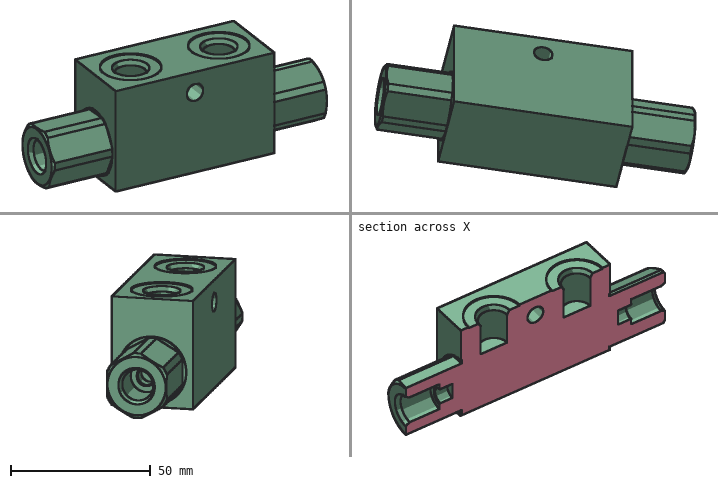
import cadquery as cq
import math

BLOCK_WIDTH = 30.0
BLOCK_HEIGHT = 40.0
OVERALL_LENGTH = 113.0
FITTING_LENGTH = 24.0
BLOCK_LENGTH = OVERALL_LENGTH - 2 * FITTING_LENGTH

FITTING_AXIS_Z = 13.5
ACROSS_FLATS = 22.0
CORNER_DIAMETER = 24.0
END_FACE_DIAMETER = 21.5
END_CHAMFER_ANGLE = 30.0
FRONT_HEX_TURN = 3.0
BACK_HEX_TURN = 30.0

SEAT_DIAMETER = 25.0
SPOTFACE_DIAMETER = 22.0
RECESS_DEPTH = 0.5

PORT_MOUTH_DIAMETER = 13.5
PORT_DIAMETER = 11.4
PORT_DEPTH = 14.7
PORT_MOUTH_HALF_ANGLE = 30.0
PORT_SPACING = 36.2
PASSAGE_DIAMETER = 6.3
PASSAGE_MOUTH_DIAMETER = 7.0
PASSAGE_MOUTH_HALF_ANGLE = 45.0
PASSAGE_DEPTH = 5.6

CROSS_HOLE_DIAMETER = 6.7
CROSS_HOLE_Z = 31.9


def cylinder(diameter, depth):
    """Cylinder running from the origin down to Z = -depth."""
    return cq.Workplane("XY").circle(diameter / 2).extrude(-depth)


def countersink(mouth_diameter, hole_diameter, half_angle):
    """Cone below the origin, narrowing from mouth to hole."""
    depth = (mouth_diameter - hole_diameter) / 2 / math.tan(math.radians(half_angle))
    profile = [(0, 0), (mouth_diameter / 2, 0), (hole_diameter / 2, -depth), (0, -depth)]
    return cq.Workplane("XZ").polyline(profile).close().revolve(360, (0, 0), (0, 1))


def port():
    """Port with a chamfered mouth, opening at the origin."""
    mouth = countersink(PORT_MOUTH_DIAMETER, PORT_DIAMETER, PORT_MOUTH_HALF_ANGLE)
    return cylinder(PORT_DIAMETER, PORT_DEPTH).union(mouth)


def fitting_bore():
    """Port followed by a narrower passage with a chamfered edge."""
    passage = cylinder(PASSAGE_DIAMETER, PASSAGE_DEPTH)
    mouth = countersink(PASSAGE_MOUTH_DIAMETER, PASSAGE_DIAMETER, PASSAGE_MOUTH_HALF_ANGLE)
    passage = passage.union(mouth)
    return port().union(passage.translate((0, 0, -PORT_DEPTH)))


def fitting_body(turn):
    """Hexagon with turned corners and a chamfered outer end at the origin."""
    length = FITTING_LENGTH + RECESS_DEPTH
    hexagon_diameter = ACROSS_FLATS / math.cos(math.pi / 6)
    hexagon = cq.Workplane("XY").polygon(6, hexagon_diameter).extrude(-length)
    hexagon = hexagon.rotate((0, 0, 0), (0, 0, 1), turn)

    corner_radius = CORNER_DIAMETER / 2
    end_radius = END_FACE_DIAMETER / 2
    chamfer_length = (corner_radius - end_radius) * math.tan(math.radians(END_CHAMFER_ANGLE))
    envelope = (
        cq.Workplane("XZ")
        .polyline([
            (0, 0),
            (end_radius, 0),
            (corner_radius, -chamfer_length),
            (corner_radius, -length),
            (0, -length),
        ])
        .close()
        .revolve(360, (0, 0), (0, 1))
    )
    return hexagon.intersect(envelope)


def face_end(shape, side):
    """Turn the +Z end of a shape to face -Y (side = -1) or +Y (side = 1) at the part's end."""
    turned = shape.rotate((0, 0, 0), (1, 0, 0), -90 * side)
    return turned.translate((0, side * OVERALL_LENGTH / 2, FITTING_AXIS_Z))


result = cq.Workplane("XY").box(BLOCK_WIDTH, BLOCK_LENGTH, BLOCK_HEIGHT, centered=(True, True, False))
top_port = cylinder(SPOTFACE_DIAMETER, RECESS_DEPTH).union(port().translate((0, 0, -RECESS_DEPTH)))
for side in (-1, 1):
    result = result.cut(top_port.translate((0, side * PORT_SPACING / 2, BLOCK_HEIGHT)))

seat = cylinder(SEAT_DIAMETER, RECESS_DEPTH).translate((0, 0, -FITTING_LENGTH))
for side, turn in ((-1, FRONT_HEX_TURN), (1, BACK_HEX_TURN)):
    result = result.cut(face_end(seat, side))
    result = result.union(face_end(fitting_body(turn), side))
    result = result.cut(face_end(fitting_bore(), side))

cross_hole = (
    cq.Workplane("YZ")
    .center(0, CROSS_HOLE_Z)
    .circle(CROSS_HOLE_DIAMETER / 2)
    .extrude(BLOCK_WIDTH / 2, both=True)
)
result = result.cut(cross_hole)